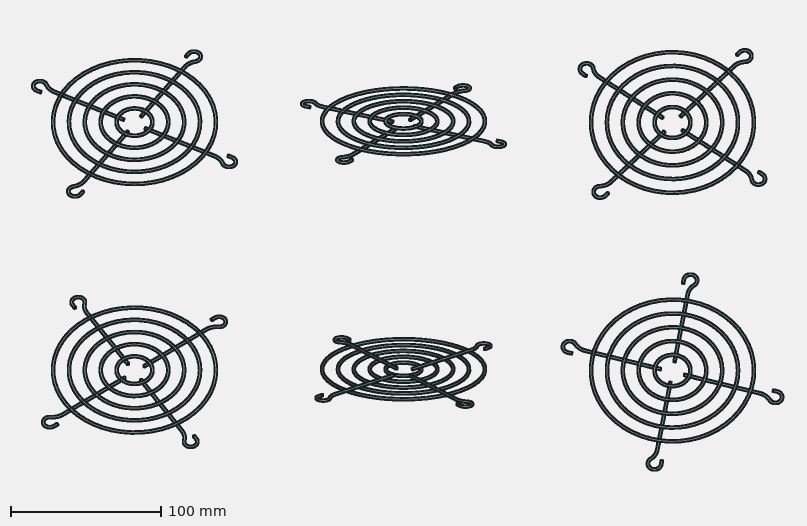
import cadquery as cq
import math

WIRE_DIAMETER = 2.0
WELD_OVERLAP = 0.03
SPOKE_HEIGHT = 0.0
RING_HEIGHT = SPOKE_HEIGHT + WIRE_DIAMETER - WELD_OVERLAP

INNER_RING_RADIUS = 12.0
RING_SPACING = 10.5
RING_COUNT = 5

SPOKE_START = 8.0
OVERALL_LENGTH = 153.0
HOOK_RADIUS = 4.5
HOOK_TAIL_LENGTH = 3.0
BEND_ANGLE = math.radians(45)
SPOKE_ANGLES = (0, 96, 180, 276)

wire_radius = WIRE_DIAMETER / 2
hook_center = OVERALL_LENGTH / 2 - wire_radius - HOOK_RADIUS
bend_end_x = HOOK_RADIUS * math.cos(BEND_ANGLE)
bend_end_y = hook_center - HOOK_RADIUS * math.sin(BEND_ANGLE)
bend_radius = bend_end_x / (1 - math.cos(BEND_ANGLE))
bend_start_y = bend_end_y - bend_radius * math.sin(BEND_ANGLE)


def make_ring(radius):
    """Closed ring of round wire lying on the spokes."""
    torus = cq.Solid.makeTorus(radius, wire_radius)
    return cq.Workplane(torus).translate((0, 0, RING_HEIGHT))


def make_spoke():
    """Straight wire along +Y ending in an open hook."""
    half_bend = BEND_ANGLE / 2
    bend_middle = (
        bend_radius * (1 - math.cos(half_bend)),
        bend_start_y + bend_radius * math.sin(half_bend),
    )
    hook_middle_angle = (math.pi - BEND_ANGLE) / 2
    hook_middle = (
        HOOK_RADIUS * math.cos(hook_middle_angle),
        hook_center + HOOK_RADIUS * math.sin(hook_middle_angle),
    )
    path = (
        cq.Workplane("XY", origin=(0, 0, SPOKE_HEIGHT))
        .moveTo(0, SPOKE_START)
        .lineTo(0, bend_start_y)
        .threePointArc(bend_middle, (bend_end_x, bend_end_y))
        .threePointArc(hook_middle, (-HOOK_RADIUS, hook_center))
        .lineTo(-HOOK_RADIUS, hook_center - HOOK_TAIL_LENGTH)
    )
    return (
        cq.Workplane("XZ", origin=(0, SPOKE_START, SPOKE_HEIGHT))
        .circle(wire_radius)
        .sweep(path)
    )


spoke = make_spoke()
result = cq.Workplane()
for angle in SPOKE_ANGLES:
    result = result.add(spoke.rotate((0, 0, 0), (0, 0, 1), angle))
result = result.combine()

for index in range(RING_COUNT):
    result = result.union(make_ring(INNER_RING_RADIUS + index * RING_SPACING))